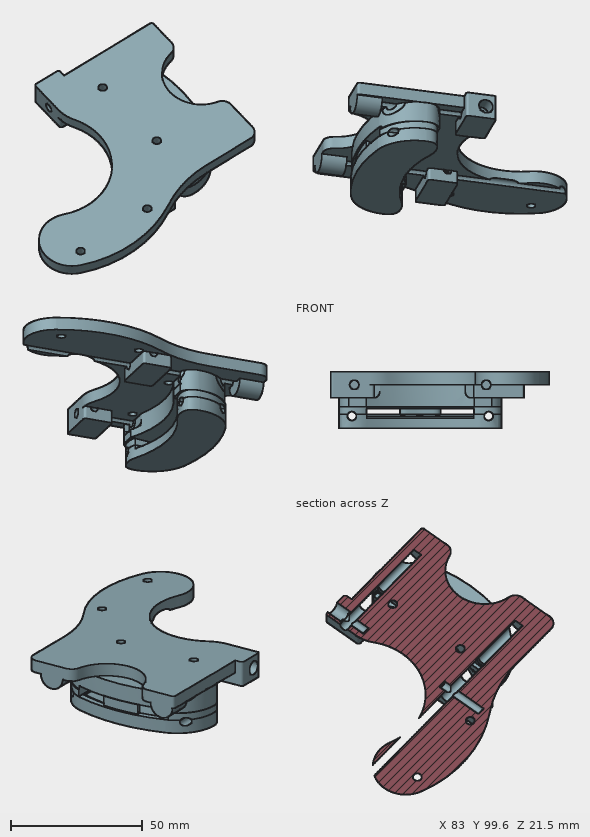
import cadquery as cq
import math


PLATE_BOTTOM = -5.0
BLOCK_BOTTOM = -10.0
YOKE_BOTTOM = -13.2
SEAM = -16.1
BASE_BOTTOM = -21.5

PLATE_LEFT = -30.7
PLATE_RIGHT = 36.0
PLATE_BACK = 72.5
PLATE_FRONT = 18.9
BLOCK_LEFT = -33.95
BLOCK_BACK = 30.6
BLOCK_CORNER = 1.0
PALM_RADIUS = 23.9
TAIL_OUTER_RADIUS = 49.0
TAIL_TIP_Y = -27.1
FRONT_BLEND_RADIUS = 14.9
SIDE_BLEND_RADIUS = 44.2
NOTCH_RADIUS = 14.9
NOTCH_BOTTOM = 57.6
NOTCH_CORNER = 4.0
BACK_CORNER = 4.0
SCREW_HOLE = 3.3
SCREW_HOLES = [(-17.2, 38.7), (15.3, 39.6), (38.9, 17.1), (39.7, -15.2)]

LEFT_BLOCK_INNER = -17.4
RIGHT_BLOCK_INNER = 20.2
RIGHT_BLOCK_OUTER = 39.3
BOSS_FRONT = 62.6

CORD_BORE = 3.5
CORD_X = 25.0
SLEEVE_DIAMETER = 7.5
CROSS_BORE = 3.0
CROSS_COUNTERBORE = 5.5
CROSS_COUNTERBORE_DEPTH = 6.5
CROSS_Y = 23.0
BASE_BORE = 3.3
BASE_BORE_X = 25.9
BASE_BORE_Z = -16.8

HALF_WIDTH = 30.9
YOKE_BACK_RADIUS = 63.9
BASE_BACK_RADIUS = 64.3
END_RADIUS = 16.5
YOKE_INNER_RADIUS = 44.3
YOKE_FRONT = 39.3
YOKE_CORNER_X = 27.1
LEFT_POCKET_INNER_X = -15.3
RIGHT_POCKET_INNER_X = 17.0
POCKET_CORNER = 2.4
RIDGE_RADIUS = 54.8
RIDGE_BOTTOM = -14.1
YOKE_BACK_BOTTOM = -11.8
BASE_INNER_RADIUS = 45.8
BASE_FRONT = 40.0
BASE_FRONT_X = 24.9
FLOOR_FRONT_Z = -17.6
FLOOR_BACK_Z = -16.8
FLOOR_BACK_RADIUS = 60.2
RIM_RADIUS = 61.7
PILLAR_INNER_X = 20.3
POST_HALF_WIDTH = 7.8
POST_FRONT = 60.3
POST_BACK_RADIUS = 63.2


def unit(x, y):
    """The direction of (x, y), as a vector of length 1."""
    length = math.hypot(x, y)
    return x / length, y / length


def toward(center, direction, distance):
    return center[0] + distance * direction[0], center[1] + distance * direction[1]


def arc_middle(center, radius, start, end):
    """The midpoint of the shorter arc from start to end."""
    direction = unit(start[0] + end[0] - 2 * center[0], start[1] + end[1] - 2 * center[1])
    return toward(center, direction, radius)


def arc_to(sketch, center, radius, start, end):
    return sketch.threePointArc(arc_middle(center, radius, start, end), end)


def y_cylinder(diameter, x, z, y_start, y_end):
    plane = cq.Plane(origin=(x, y_start, z), xDir=(1, 0, 0), normal=(0, 1, 0))
    return cq.Workplane(plane).circle(diameter / 2).extrude(y_end - y_start)


def x_cylinder(diameter, y, z, x_start, x_end):
    plane = cq.Plane(origin=(x_start, y, z), xDir=(0, 1, 0), normal=(1, 0, 0))
    return cq.Workplane(plane).circle(diameter / 2).extrude(x_end - x_start)


def box_between(x0, x1, y0, y1, z0, z1):
    return cq.Workplane("XY").box(x1 - x0, y1 - y0, z1 - z0, centered=False).translate((x0, y0, z0))


def plate_blank():
    """The plate without its holes and without anything below it."""
    origin = (0, 0)

    front_center_y = PLATE_FRONT + FRONT_BLEND_RADIUS
    front_center_x = -math.sqrt((PALM_RADIUS + FRONT_BLEND_RADIUS) ** 2 - front_center_y**2)
    front_center = (front_center_x, front_center_y)
    front_start = (front_center_x, PLATE_FRONT)
    palm_start = toward(origin, unit(*front_center), PALM_RADIUS)

    tip_radius = (TAIL_OUTER_RADIUS - PALM_RADIUS) / 2
    tip_center_y = TAIL_TIP_Y + tip_radius
    tip_center_x = math.sqrt((PALM_RADIUS + tip_radius) ** 2 - tip_center_y**2)
    tip_direction = unit(tip_center_x, tip_center_y)
    palm_end = toward(origin, tip_direction, PALM_RADIUS)
    outer_start = toward(origin, tip_direction, TAIL_OUTER_RADIUS)
    tip_far = (tip_center_x + tip_radius * tip_direction[1], tip_center_y - tip_radius * tip_direction[0])

    side_center_x = PLATE_RIGHT + SIDE_BLEND_RADIUS
    side_center_y = math.sqrt((TAIL_OUTER_RADIUS + SIDE_BLEND_RADIUS) ** 2 - side_center_x**2)
    side_center = (side_center_x, side_center_y)
    outer_end = toward(origin, unit(*side_center), TAIL_OUTER_RADIUS)
    side_end = (PLATE_RIGHT, side_center_y)

    notch_center = (0, NOTCH_BOTTOM + NOTCH_RADIUS)
    shoulder_y = PLATE_BACK - NOTCH_CORNER
    shoulder_x = math.sqrt((NOTCH_RADIUS + NOTCH_CORNER) ** 2 - (shoulder_y - notch_center[1]) ** 2)
    shoulder_direction = unit(shoulder_x, shoulder_y - notch_center[1])
    notch_right = toward(notch_center, shoulder_direction, NOTCH_RADIUS)
    notch_left = (-notch_right[0], notch_right[1])

    sketch = cq.Workplane("XY").workplane(offset=PLATE_BOTTOM)
    sketch = sketch.moveTo(BLOCK_LEFT, PLATE_FRONT).lineTo(*front_start)
    sketch = arc_to(sketch, front_center, FRONT_BLEND_RADIUS, front_start, palm_start)
    sketch = arc_to(sketch, origin, PALM_RADIUS, palm_start, palm_end)
    sketch = sketch.threePointArc(tip_far, outer_start)
    sketch = arc_to(sketch, origin, TAIL_OUTER_RADIUS, outer_start, outer_end)
    sketch = arc_to(sketch, side_center, SIDE_BLEND_RADIUS, outer_end, side_end)
    sketch = sketch.lineTo(PLATE_RIGHT, PLATE_BACK).lineTo(shoulder_x, PLATE_BACK)
    sketch = arc_to(sketch, (shoulder_x, shoulder_y), NOTCH_CORNER, (shoulder_x, PLATE_BACK), notch_right)
    sketch = sketch.threePointArc((0, NOTCH_BOTTOM), notch_left)
    left_end = (-shoulder_x, PLATE_BACK)
    sketch = arc_to(sketch, (-shoulder_x, shoulder_y), NOTCH_CORNER, notch_left, left_end)
    sketch = sketch.lineTo(PLATE_LEFT, PLATE_BACK).lineTo(PLATE_LEFT, BLOCK_BACK)
    solid = sketch.lineTo(BLOCK_LEFT, BLOCK_BACK).close().extrude(-PLATE_BOTTOM)

    left_corners = [(PLATE_LEFT, PLATE_BACK), (BLOCK_LEFT, BLOCK_BACK), (BLOCK_LEFT, PLATE_FRONT)]
    for x, y in left_corners:
        corner = cq.selectors.NearestToPointSelector((x, y, PLATE_BOTTOM))
        solid = solid.edges("|Z").edges(corner).fillet(BLOCK_CORNER)
    corner = cq.selectors.NearestToPointSelector((PLATE_RIGHT, PLATE_BACK, PLATE_BOTTOM))
    return solid.edges("|Z").edges(corner).fillet(BACK_CORNER)


def block(x0, x1):
    solid = box_between(x0, x1, PLATE_FRONT, BLOCK_BACK, BLOCK_BOTTOM, PLATE_BOTTOM)
    return solid.edges("|Z").fillet(BLOCK_CORNER)


def half_cylinder(diameter, x, y_start, y_end):
    """The lower half of a bar along Y, hanging from the plate."""
    below = box_between(x - diameter, x + diameter, y_start, y_end, PLATE_BOTTOM - diameter, PLATE_BOTTOM)
    return y_cylinder(diameter, x, PLATE_BOTTOM, y_start, y_end).intersect(below)


def make_plate():
    solid = plate_blank()
    solid = solid.union(block(BLOCK_LEFT, LEFT_BLOCK_INNER))
    solid = solid.union(block(RIGHT_BLOCK_INNER, RIGHT_BLOCK_OUTER))
    boss_diameter = 2 * (PLATE_BOTTOM - BLOCK_BOTTOM)
    for x in (-CORD_X, CORD_X):
        solid = solid.union(half_cylinder(boss_diameter, x, BOSS_FRONT, PLATE_BACK))
        sleeve = half_cylinder(SLEEVE_DIAMETER, x, PLATE_FRONT, YOKE_BACK_RADIUS)
        solid = solid.union(sleeve.intersect(yoke_ring()))

    for x, y in SCREW_HOLES:
        hole = cq.Workplane("XY").center(x, y).circle(SCREW_HOLE / 2).extrude(PLATE_BOTTOM)
        solid = solid.cut(hole)
    for x0, x1 in [(BLOCK_LEFT, LEFT_BLOCK_INNER), (RIGHT_BLOCK_INNER, RIGHT_BLOCK_OUTER)]:
        solid = solid.cut(x_cylinder(CROSS_BORE, CROSS_Y, PLATE_BOTTOM, x0, x1))
    counterbore_end = BLOCK_LEFT + CROSS_COUNTERBORE_DEPTH
    solid = solid.cut(x_cylinder(CROSS_COUNTERBORE, CROSS_Y, PLATE_BOTTOM, BLOCK_LEFT, counterbore_end))
    for x in (-CORD_X, CORD_X):
        solid = solid.cut(y_cylinder(CORD_BORE, x, PLATE_BOTTOM, TAIL_TIP_Y, BOSS_FRONT))
    return solid


def curved_bar(bottom, top, back_radius, inner_radius, inner_x, front_curve):
    """A bar bent about the origin; front_curve draws from its right end to the inner arc."""
    end_x = HALF_WIDTH - END_RADIUS
    end_y = math.sqrt((back_radius - END_RADIUS) ** 2 - end_x**2)
    back_end = toward((0, 0), unit(end_x, end_y), back_radius)
    side = (HALF_WIDTH, end_y)
    inner = (inner_x, math.sqrt(inner_radius**2 - inner_x**2))
    sketch = cq.Workplane("XY").workplane(offset=bottom).moveTo(0, back_radius)
    sketch = arc_to(sketch, (0, 0), back_radius, (0, back_radius), back_end)
    sketch = arc_to(sketch, (end_x, end_y), END_RADIUS, back_end, side)
    sketch = front_curve(sketch, side, inner)
    sketch = arc_to(sketch, (0, 0), inner_radius, inner, (0, inner_radius))
    half = sketch.close().extrude(top - bottom)
    return half.union(half.mirror("YZ")).clean()


def yoke_front(sketch, side, inner):
    drop = side[1] - YOKE_FRONT
    inset = side[0] - YOKE_CORNER_X
    radius = (drop**2 + inset**2) / (2 * inset)
    corner = (YOKE_CORNER_X, YOKE_FRONT)
    return arc_to(sketch, (side[0] - radius, side[1]), radius, side, corner).lineTo(*inner)


def base_front(sketch, side, inner):
    """A rounded nose that runs smoothly from the side into the inner arc."""
    side_tangent = (0, -1)
    inner_tangent = (-inner[1], inner[0])
    points = [(BASE_FRONT_X, BASE_FRONT), inner]
    return sketch.spline(points, tangents=[side_tangent, unit(*inner_tangent)], includeCurrent=True)


def revolved(*points):
    """A ring about the Z axis from a (radius, height) profile, kept between the pillars."""
    ring = cq.Workplane("XZ").polyline(points).close().revolve(360, (0, 0, 0), (0, 1, 0))
    window = box_between(-PILLAR_INNER_X, PILLAR_INNER_X, 0, 2 * BASE_BACK_RADIUS, BASE_BOTTOM, 0)
    return ring.intersect(window)


def pocket(x_inner):
    """A flat-floored recess in the yoke's front that runs out into its inner arc."""
    x_outer = math.copysign(YOKE_CORNER_X, x_inner)
    floor_y = math.sqrt(YOKE_INNER_RADIUS**2 - x_inner**2)
    x0 = min(x_inner, x_outer)
    x1 = max(x_inner, x_outer)
    inner_side = "<X" if x_inner > 0 else ">X"
    solid = box_between(x0, x1, PLATE_FRONT, floor_y, BLOCK_BOTTOM, PLATE_BOTTOM)
    return solid.faces("<Z").edges(inner_side).fillet(POCKET_CORNER)


def yoke_ring():
    """The yoke's upper bar, with its front pockets but without bores."""
    inner_x = math.sqrt(YOKE_INNER_RADIUS**2 - YOKE_FRONT**2)
    solid = curved_bar(
        RIDGE_BOTTOM, PLATE_BOTTOM, YOKE_BACK_RADIUS, YOKE_INNER_RADIUS, inner_x, yoke_front
    )
    for x in (LEFT_POCKET_INNER_X, RIGHT_POCKET_INNER_X):
        solid = solid.cut(pocket(x))

    for x0, x1 in [(-HALF_WIDTH, -PILLAR_INNER_X), (PILLAR_INNER_X, HALF_WIDTH)]:
        solid = solid.cut(box_between(x0, x1, 0, YOKE_BACK_RADIUS, RIDGE_BOTTOM, YOKE_BOTTOM))

    relief = revolved(
        (PALM_RADIUS, BASE_BOTTOM),
        (PALM_RADIUS, YOKE_BOTTOM),
        (YOKE_INNER_RADIUS, YOKE_BOTTOM),
        (RIDGE_RADIUS, RIDGE_BOTTOM),
        (YOKE_BACK_RADIUS, YOKE_BACK_BOTTOM),
        (BASE_BACK_RADIUS, YOKE_BACK_BOTTOM),
        (BASE_BACK_RADIUS, BASE_BOTTOM),
    )
    return solid.cut(relief)


def slot():
    """The space between the pillars, above a sloping floor and a flat rim behind it."""
    return revolved(
        (PALM_RADIUS, FLOOR_FRONT_Z),
        (BASE_INNER_RADIUS, FLOOR_FRONT_Z),
        (FLOOR_BACK_RADIUS, FLOOR_BACK_Z),
        (RIM_RADIUS, SEAM),
        (2 * BASE_BACK_RADIUS, SEAM),
        (2 * BASE_BACK_RADIUS, PLATE_BOTTOM),
        (PALM_RADIUS, PLATE_BOTTOM),
    )


def lower_bar(bottom, top):
    """The base's outline with the slot cut out, between two heights."""
    solid = curved_bar(bottom, top, BASE_BACK_RADIUS, BASE_INNER_RADIUS, PILLAR_INNER_X, base_front)
    solid = solid.cut(slot())
    for x in (-BASE_BORE_X, BASE_BORE_X):
        solid = solid.cut(y_cylinder(BASE_BORE, x, BASE_BORE_Z, 0, BASE_BACK_RADIUS))
    return solid


def post(bottom, top):
    """A length of the middle post: an arc at the back and a rounded front."""
    back_y = math.sqrt(POST_BACK_RADIUS**2 - POST_HALF_WIDTH**2)
    left = (-POST_HALF_WIDTH, back_y)
    right = (POST_HALF_WIDTH, back_y)
    sketch = cq.Workplane("XY").workplane(offset=bottom).moveTo(*left)
    sketch = sketch.threePointArc((0, POST_BACK_RADIUS), right)
    sketch = sketch.spline([(0, POST_FRONT), left], tangents=[(0, -1), (0, 1)], includeCurrent=True)
    return sketch.close().extrude(top - bottom)


def make_base():
    return lower_bar(BASE_BOTTOM, SEAM).union(post(FLOOR_FRONT_Z, SEAM))


def make_yoke():
    solid = yoke_ring()
    for x in (-CORD_X, CORD_X):
        solid = solid.cut(y_cylinder(SLEEVE_DIAMETER, x, PLATE_BOTTOM, PLATE_FRONT, YOKE_BACK_RADIUS))
    solid = solid.union(lower_bar(SEAM, YOKE_BOTTOM))
    return solid.union(post(SEAM, YOKE_BACK_BOTTOM))


plate = make_plate()
base = make_base()
yoke = make_yoke()

result = cq.Compound.makeCompound([*plate.vals(), *yoke.vals(), *base.vals()])